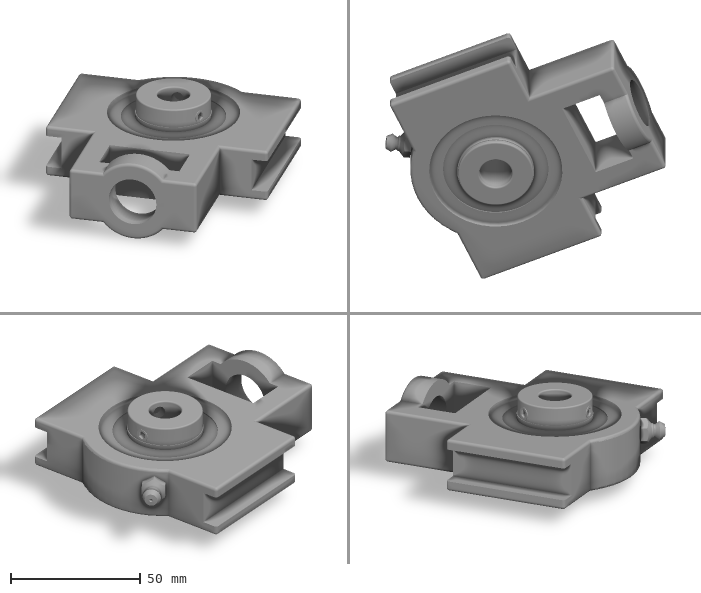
import cadquery as cq
import math


body_width = 89.0
body_length = 51.0
neck_width = body_length
thickness = 21.0
neck_end_y = -61.0
crown_radius = 33.0
edge_radius = 1.2
recess_diameter = 51.6
recess_corner_radius = 0.9

window_width = 32.1
window_near_y = -35.2
window_far_y = -51.1

lug_radius = 16.0
lug_hole_diameter = 19.0

guide_slot_height = 13.1
guide_slot_depth = 6.3

outer_ring_width = 17.9
outer_ring_face_diameter = 44.0
seat_sphere_radius = math.hypot(outer_ring_face_diameter / 2, outer_ring_width / 2)
seal_diameter = 40.8
seal_recess = 0.5
seal_rise = 0.6
seal_thickness = 1.5

inner_ring_diameter = 29.8
collar_diameter = 29.2
race_half_width = 10.9
inner_ring_top_z = 18.35
inner_ring_bottom_z = -12.6
inner_ring_edge_radius = 0.6
shaft_diameter = 12.7

screw_diameter = 5.0
screw_z = 13.7
screw_angles = (90, -30)
screw_inner_radius = 9.9
screw_outer_radius = 14.8
socket_flats = 3.0
socket_depth = 2.5

nipple_angle = 120
nipple_z = 2.7
nipple_tip_edge = 42.7
nipple_tip = 42.85
nipple_head_wide = 40.5
nipple_neck_top = 38.9
nipple_neck_bottom = 38.4
nipple_collar_top = 37.9
nipple_collar_bottom = 37.4
nipple_hexagon_corner_top = 35.4
nipple_stem_end = 27.8
nipple_tip_diameter = 5.0
nipple_head_diameter = 7.1
nipple_neck_diameter = 5.0
nipple_collar_diameter = 6.0
nipple_stem_diameter = 6.0
nipple_flats = 9.0
nipple_hole_diameter = 1.5
nipple_hole_depth = 2.0


def radial_plane(angle, distance, z):
    """Plane whose normal points away from the bearing axis at an angle from +X."""
    turn = math.radians(angle)
    outward = cq.Vector(math.cos(turn), math.sin(turn), 0)
    return cq.Plane(origin=outward * distance + cq.Vector(0, 0, z), xDir=(0, 0, 1), normal=outward)


def radial_cylinder(angle, z, diameter, start, end):
    return cq.Workplane(radial_plane(angle, start, z)).circle(diameter / 2).extrude(end - start)


def revolved(points):
    """Solid of revolution about Z of a closed (radius, z) outline."""
    return cq.Workplane("XZ").polyline(points).close().revolve(360, (0, 0, 0), (0, 1, 0))


def hexagon_diameter(flats):
    return flats / math.cos(math.pi / 6)


def make_plate():
    """Housing outline with rounded outer edges."""
    crown_x = math.sqrt(crown_radius**2 - (body_length / 2) ** 2)
    half_width = body_width / 2
    half_length = body_length / 2
    half_neck = neck_width / 2
    plate = (
        cq.Workplane("XY", origin=(0, 0, -thickness / 2))
        .moveTo(-half_width, half_length)
        .lineTo(-crown_x, half_length)
        .threePointArc((0, crown_radius), (crown_x, half_length))
        .lineTo(half_width, half_length)
        .lineTo(half_width, -half_length)
        .lineTo(half_neck, -half_length)
        .lineTo(half_neck, neck_end_y)
        .lineTo(-half_neck, neck_end_y)
        .lineTo(-half_neck, -half_length)
        .lineTo(-half_width, -half_length)
        .close()
        .extrude(thickness)
    )
    plate = plate.edges("|Z and (<X or >X or <Y)").fillet(edge_radius)
    plate = plate.faces("<Z or >Z").edges().fillet(edge_radius)
    return plate


def make_lug():
    """Round boss at the end of the neck, around the adjusting screw hole."""
    lug = cq.Workplane("XZ", origin=(0, window_far_y, 0)).circle(lug_radius).extrude(window_far_y - neck_end_y)
    return lug.faces("<Y").edges().fillet(edge_radius)


def make_ring_blank():
    """Barrel with a spherical outside, which is also the shape of the bearing seat."""
    sphere = cq.Workplane("XY").sphere(seat_sphere_radius)
    return sphere.intersect(cq.Workplane("XY").box(recess_diameter, recess_diameter, outer_ring_width))


def make_recess(side):
    """Round recess around the bearing, with a rounded floor corner, on one face of the housing."""
    recess = (
        cq.Workplane("XY", origin=(0, 0, outer_ring_width / 2))
        .circle(recess_diameter / 2)
        .extrude(thickness)
        .faces("<Z")
        .edges()
        .fillet(recess_corner_radius)
    )
    return recess if side > 0 else recess.mirror("XY")


def make_housing():
    housing = make_plate().union(make_lug())

    housing = housing.cut(make_ring_blank())
    for side in (1, -1):
        housing = housing.cut(make_recess(side))

    window_middle = (window_near_y + window_far_y) / 2
    window = cq.Workplane("XY").box(window_width, window_near_y - window_far_y, 2 * lug_radius)
    housing = housing.cut(window.translate((0, window_middle, 0)))

    lug_hole = (
        cq.Workplane("XZ", origin=(0, window_far_y, 0))
        .circle(lug_hole_diameter / 2)
        .extrude(window_far_y - neck_end_y)
    )
    housing = housing.cut(lug_hole)

    for side in (-1, 1):
        slot = cq.Workplane("XY").box(2 * guide_slot_depth, 2 * body_length, guide_slot_height)
        slot = slot.intersect(cq.Workplane("XY").box(body_width, body_length, thickness))
        housing = housing.cut(slot.translate((side * body_width / 2, 0, 0)))

    stem_hole = radial_cylinder(
        nipple_angle, nipple_z, nipple_stem_diameter, nipple_stem_end, crown_radius + edge_radius
    )
    return housing.cut(stem_hole)


def make_outer_ring():
    bore = cq.Workplane("XY").circle(seal_diameter / 2).extrude(outer_ring_width, both=True)
    return make_ring_blank().cut(bore)


def make_seal(side):
    """Conical seal that rises inward, on the upper (1) or lower (-1) side of the bearing."""
    outer = seal_diameter / 2
    inner = inner_ring_diameter / 2
    rim_z = outer_ring_width / 2 - seal_recess
    back_z = rim_z - seal_thickness
    points = [
        (outer, back_z),
        (outer, rim_z),
        (inner, rim_z + seal_rise),
        (inner, back_z),
    ]
    return revolved([(radius, side * z) for radius, z in points])


def make_inner_ring():
    """Ring with a wide race in the middle, longer on the upper side to hold the set screws."""
    length = inner_ring_top_z - inner_ring_bottom_z
    ring = (
        cq.Workplane("XY", origin=(0, 0, inner_ring_bottom_z))
        .circle(collar_diameter / 2)
        .circle(shaft_diameter / 2)
        .extrude(length)
        .faces("<Z or >Z")
        .edges()
        .fillet(inner_ring_edge_radius)
    )
    race = (
        cq.Workplane("XY")
        .circle(inner_ring_diameter / 2)
        .circle(shaft_diameter / 2)
        .extrude(race_half_width, both=True)
    )
    ring = ring.union(race)
    for angle in screw_angles:
        ring = ring.cut(radial_cylinder(angle, screw_z, screw_diameter, 0, inner_ring_diameter / 2))
    return ring


def make_set_screw(angle):
    """Set screw whose outer end holds a hexagon socket."""
    screw = radial_cylinder(angle, screw_z, screw_diameter, screw_inner_radius, screw_outer_radius)
    socket = (
        cq.Workplane(radial_plane(angle, screw_outer_radius - socket_depth, screw_z))
        .polygon(6, hexagon_diameter(socket_flats))
        .extrude(socket_depth)
    )
    return screw.cut(socket)


def make_grease_nipple():
    """Nipple with a head, a neck, a hexagon with a conical top, and a round stem."""
    tip = nipple_tip_diameter / 2
    head = nipple_head_diameter / 2
    neck = nipple_neck_diameter / 2
    collar = nipple_collar_diameter / 2
    hole = nipple_hole_diameter / 2
    corner = hexagon_diameter(nipple_flats) / 2

    axis_plane = radial_plane(nipple_angle, 0, nipple_z)
    hexagon = (
        cq.Workplane(axis_plane)
        .workplane(offset=crown_radius)
        .polygon(6, 2 * corner)
        .extrude(nipple_tip - crown_radius)
    )
    turned = revolved(
        [
            (0, crown_radius),
            (corner, crown_radius),
            (corner, nipple_hexagon_corner_top),
            (collar, nipple_collar_bottom),
            (collar, nipple_collar_top),
            (neck, nipple_neck_bottom),
            (neck, nipple_neck_top),
            (head, nipple_head_wide),
            (tip, nipple_tip_edge),
            (hole, nipple_tip),
            (0, nipple_tip),
        ]
    )
    turned = cq.Workplane(turned.val().located(cq.Location(axis_plane)))
    stem = radial_cylinder(
        nipple_angle, nipple_z, nipple_stem_diameter, nipple_stem_end, crown_radius
    )
    grease_hole = radial_cylinder(
        nipple_angle, nipple_z, nipple_hole_diameter, nipple_tip - nipple_hole_depth, nipple_tip
    )
    return turned.intersect(hexagon).union(stem).cut(grease_hole)


result = cq.Compound.makeCompound(
    [
        make_housing().val(),
        make_outer_ring().val(),
        *[make_seal(side).val() for side in (1, -1)],
        make_inner_ring().val(),
        *[make_set_screw(angle).val() for angle in screw_angles],
        make_grease_nipple().val(),
    ]
)